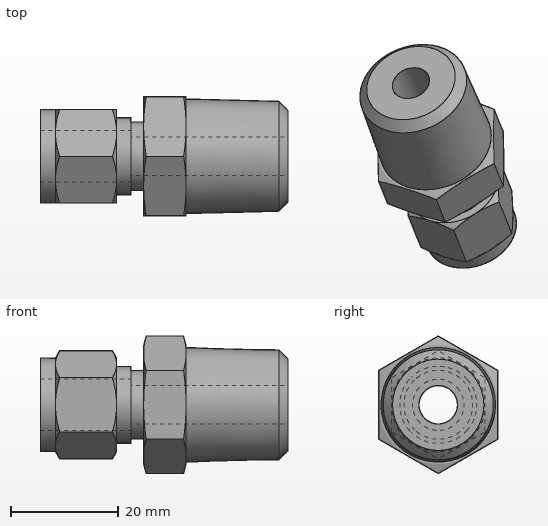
import cadquery as cq
import math


nut_hex_start = 2.8
nut_hex_end = 14.25
collar_end = 16.85
body_hex_start = 19.27
body_hex_end = 27.2
taper_start = 28.2
tip_chamfer = 1.75
total_length = 46.2

nut_across_flats = 17.45
nut_chamfer_angle = 30.0
body_across_flats = 22.25
body_chamfer_angle = 15.0

collar_diameter = 14.37
neck_diameter = 12.85
thread_diameter = 21.35
thread_small_diameter = 20.5

socket_diameter = 9.55
socket_depth = collar_end
passage_diameter = 7.1


def cylinder(diameter, start, end):
    """Round section about the X axis between two stations."""
    return cq.Workplane("YZ", origin=(start, 0, 0)).circle(diameter / 2).extrude(end - start)


def revolved(profile):
    """Solid of revolution about X from (x, radius) points."""
    return cq.Workplane("XY").polyline(profile).close().revolve(360, (0, 0, 0), (1, 0, 0))


def chamfered_hexagon(across_flats, start, end, chamfer_angle):
    """Hexagonal prism whose corners are turned off by a cone at each end face."""
    flat_radius = across_flats / 2
    corner_radius = flat_radius / math.cos(math.radians(30))
    prism = (
        cq.Workplane("YZ", origin=(start, 0, 0))
        .polygon(6, 2 * corner_radius)
        .extrude(end - start)
        .rotate((0, 0, 0), (1, 0, 0), 90)
    )
    half_length = (end - start) / 2
    apex_radius = flat_radius + half_length / math.tan(math.radians(chamfer_angle))
    envelope = revolved([
        (start, 0),
        (start, flat_radius),
        (start + half_length, apex_radius),
        (end, flat_radius),
        (end, 0),
    ])
    return prism.intersect(envelope)


def male_end():
    """Short straight shank, tapered thread blank and 45 degree tip chamfer."""
    thread_radius = thread_diameter / 2
    small_radius = thread_small_diameter / 2
    return revolved([
        (body_hex_end, 0),
        (body_hex_end, thread_radius),
        (taper_start, thread_radius),
        (total_length - tip_chamfer, small_radius),
        (total_length, small_radius - tip_chamfer),
        (total_length, 0),
    ])


nut = cylinder(nut_across_flats, 0, nut_hex_start).union(
    chamfered_hexagon(nut_across_flats, nut_hex_start, nut_hex_end, nut_chamfer_angle)
)

collar = cylinder(collar_diameter, nut_hex_end, collar_end)
neck = cylinder(neck_diameter, collar_end, body_hex_start)

body_hex = chamfered_hexagon(body_across_flats, body_hex_start, body_hex_end, body_chamfer_angle)

fitting = nut.union(collar).union(neck).union(body_hex).union(male_end())

socket = cylinder(socket_diameter, 0, socket_depth)
passage = cylinder(passage_diameter, 0, total_length)

result = fitting.cut(socket).cut(passage)